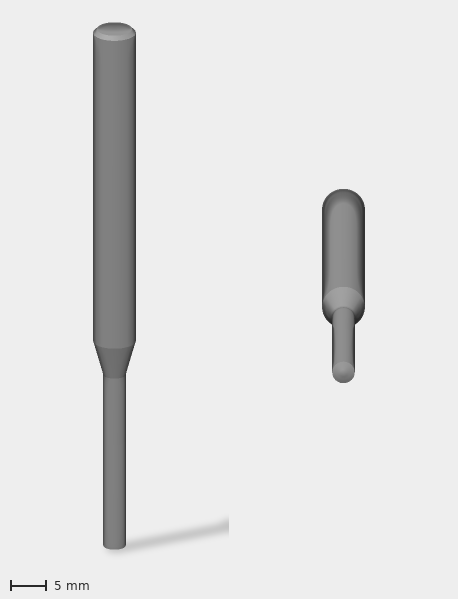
import cadquery as cq

total_length = 78.6
cutter_length = 16.35
neck_top = 26.4
taper_top = 31.5

shank_radius = 3.0
stem_radius = 1.6
point_height = 0.55
shank_chamfer = 0.55


def revolve_profile(points):
    """Revolve a closed (radius, height) outline about the Z axis."""
    return cq.Workplane("XZ").polyline(points).close().revolve(360, (0, 0, 0), (0, 1, 0))


def make_cutter():
    """Cylindrical cutting end with a shallow conical point."""
    return revolve_profile([
        (0, 0),
        (stem_radius, point_height),
        (stem_radius, cutter_length),
        (0, cutter_length),
    ])


def make_shank():
    """Chamfered shank tapering down to the slim neck above the cutter."""
    return revolve_profile([
        (0, cutter_length),
        (stem_radius, cutter_length),
        (stem_radius, neck_top),
        (shank_radius, taper_top),
        (shank_radius, total_length - shank_chamfer),
        (shank_radius - shank_chamfer, total_length),
        (0, total_length),
    ])


cutter = make_cutter()
shank = make_shank()

result = cq.Compound.makeCompound([cutter.val(), shank.val()])